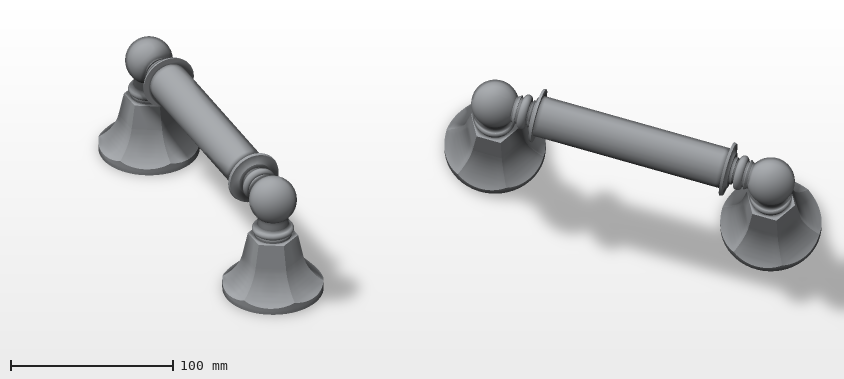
import cadquery as cq
import math

overall_length = 240.3
foot_radius = 31.2
post_offset = overall_length / 2 - foot_radius
arm_height = 64.2
ball_diameter = 29.5

foot_height = 39.2
taper_bottom = 23.8
top_apothem = 13.5
waist_apothem = 16.3
rim_height = 4.3
flare_overrun = 2.5
face_pairs = 3

collar_radius = 11.5
collar_top = 40.5
stem_radius = 9.5
stem_bottom = 47.0
ring_bottom = 41.8
ring_bottom_radius = 10.8
ring_top = 45.5
ring_top_radius = 11.8
ring_radius = 13.0

arm_radius = 8.2
lip_start = 13.2
lip_edge = 14.7
lip_end = 15.1
lip_radius = 9.4
bead_start = 16.5
bead_end = 21.9
bead_radius = 11.0
bead_edge_radius = 8.5
groove_radius = 7.5
shoulder_start = 23.0
shoulder_radius = 8.7

flange_start = 25.0
flange_neck_radius = 11.0
flange_rim_start = 26.7
flange_end = 28.4
flange_rim_radius = 16.5
flange_radius = 17.0
cove_depth = 0.5

roller_radius = 12.7
roller_length = 2 * (post_offset - flange_end)


def flare_arc():
    """Middle and end points of the foot's flare, tangent to the tapered face at the waist."""
    tilt = math.atan((waist_apothem - top_apothem) / (foot_height - taper_bottom))
    run = foot_radius - waist_apothem
    drop = taper_bottom - rim_height
    chord_tilt = math.atan(run / drop)
    radius = math.hypot(run, drop) / (2 * math.sin(chord_tilt - tilt))
    center_x = waist_apothem + radius * math.cos(tilt)
    center_z = taper_bottom + radius * math.sin(tilt)

    def point(x):
        return x, center_z - math.sqrt(radius**2 - (center_x - x) ** 2)

    reach = foot_radius + flare_overrun
    return point((waist_apothem + reach) / 2), point(reach)


def face_pair_bar():
    """Bar along X whose two long sides carry the profile of opposite foot faces."""
    middle, end = flare_arc()
    half_profile = (
        cq.Workplane("YZ")
        .lineTo(end[0], 0)
        .lineTo(*end)
        .threePointArc(middle, (waist_apothem, taper_bottom))
        .lineTo(top_apothem, foot_height)
        .lineTo(0, foot_height)
        .close()
        .extrude(2 * foot_radius, both=True)
    )
    return half_profile.union(half_profile.mirror("XZ"))


def make_foot():
    foot = cq.Workplane("XY").circle(foot_radius).extrude(foot_height)
    bar = face_pair_bar()
    for index in range(face_pairs):
        turn = index * 180 / face_pairs
        foot = foot.intersect(bar.rotate((0, 0, 0), (0, 0, 1), turn))
    return foot


def make_neck():
    """Collar, rounded ring and stem with a concave root, turned about Z."""
    cove_fraction = math.sqrt(0.5)
    cove_middle = (
        ring_top_radius - (ring_top_radius - stem_radius) * cove_fraction,
        stem_bottom - (stem_bottom - ring_top) * cove_fraction,
    )
    return (
        cq.Workplane("XZ")
        .moveTo(0, foot_height)
        .lineTo(collar_radius, foot_height)
        .lineTo(collar_radius, collar_top)
        .lineTo(ring_bottom_radius, ring_bottom)
        .threePointArc((ring_radius, (ring_bottom + ring_top) / 2), (ring_top_radius, ring_top))
        .threePointArc(cove_middle, (stem_radius, stem_bottom))
        .lineTo(stem_radius, arm_height)
        .lineTo(0, arm_height)
        .close()
        .revolve(360, (0, 0, 0), (0, 1, 0))
    )


def make_arm():
    """Lip, bead, shoulder and flange, turned about the horizontal arm axis."""
    cove_middle = (
        (flange_start + flange_rim_start) / 2 + cove_depth,
        (flange_neck_radius + flange_rim_radius) / 2 - cove_depth,
    )
    return (
        cq.Workplane("XZ", origin=(0, 0, arm_height))
        .lineTo(0, arm_radius)
        .lineTo(lip_start, arm_radius)
        .lineTo(lip_edge, lip_radius)
        .lineTo(lip_end, lip_radius)
        .lineTo(lip_end, arm_radius)
        .lineTo(bead_start, bead_edge_radius)
        .threePointArc(((bead_start + bead_end) / 2, bead_radius), (bead_end, bead_edge_radius))
        .lineTo(bead_end, groove_radius)
        .lineTo(shoulder_start, groove_radius)
        .lineTo(shoulder_start, shoulder_radius)
        .lineTo(flange_start, shoulder_radius)
        .lineTo(flange_start, flange_neck_radius)
        .threePointArc(cove_middle, (flange_rim_start, flange_rim_radius))
        .lineTo(flange_end, flange_radius)
        .lineTo(flange_end, 0)
        .close()
        .revolve(360, (0, 0, 0), (1, 0, 0))
    )


def make_post():
    """One post with its foot, neck, ball and flanged arm pointing along +X."""
    ball = cq.Workplane("XY").sphere(ball_diameter / 2).translate((0, 0, arm_height))
    return make_foot().union(make_neck()).union(ball).union(make_arm())


def make_roller():
    """Plain cylinder between the two flanges, turned about the arm axis."""
    return (
        cq.Workplane("XZ", origin=(0, 0, arm_height))
        .moveTo(-roller_length / 2, 0)
        .lineTo(-roller_length / 2, roller_radius)
        .lineTo(roller_length / 2, roller_radius)
        .lineTo(roller_length / 2, 0)
        .close()
        .revolve(360, (0, 0, 0), (1, 0, 0))
    )


left_post = make_post().translate((-post_offset, 0, 0))
posts = []
for turn in (0, 180):
    posts.append(left_post.rotate((0, 0, 0), (0, 0, 1), turn).val())
roller = make_roller()

result = cq.Compound.makeCompound([*posts, roller.val()])